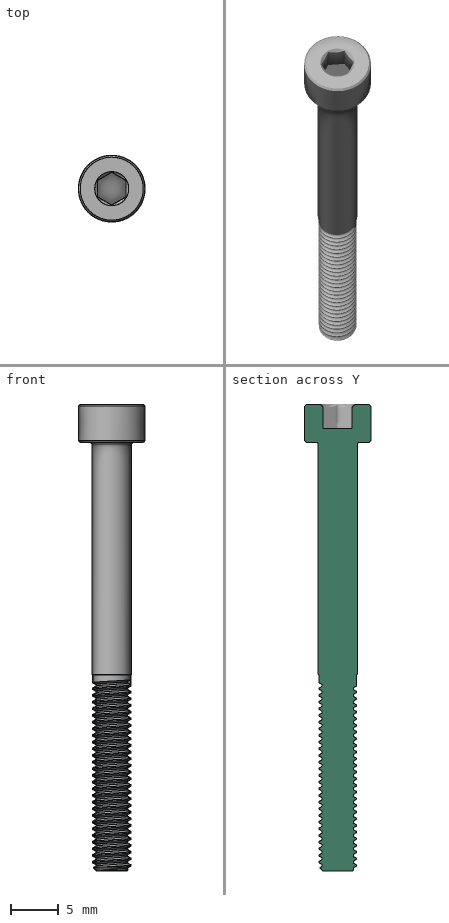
import cadquery as cq
import math

total_length = 49.0
head_diameter = 7.0
head_height = 4.0
head_chamfer = 0.2
underhead_fillet = 0.2
shank_diameter = 4.15
shank_end_z = 20.6

socket_across_flats = 3.0
socket_depth = 2.5
socket_mouth_diameter = 3.6

thread_length = 19.6
thread_turns = 28
thread_diameter = 4.0
root_diameter = 3.35
tip_diameter = 3.2
rod_run_out = 1.45
pitch = thread_length / thread_turns
flank_half_angle = math.radians(30)
root_flat = pitch / 4
crest_z_on_x_axis = 0.6
groove_overshoot = 0.05

head_radius = head_diameter / 2
shank_radius = shank_diameter / 2
thread_radius = thread_diameter / 2
root_radius = root_diameter / 2
head_base_z = total_length - head_height


def make_head_and_shank():
    """Turned head and plain shank, joined by a fillet; the shank end is chamfered to the thread."""
    shank_chamfer = shank_radius - thread_radius
    fillet_centre_r = shank_radius + underhead_fillet
    fillet_centre_z = head_base_z - underhead_fillet
    fillet_reach = underhead_fillet * math.sin(math.radians(45))
    return (
        cq.Workplane("XZ")
        .moveTo(0, shank_end_z)
        .lineTo(thread_radius, shank_end_z)
        .lineTo(shank_radius, shank_end_z + shank_chamfer)
        .lineTo(shank_radius, fillet_centre_z)
        .threePointArc(
            (fillet_centre_r - fillet_reach, fillet_centre_z + fillet_reach),
            (fillet_centre_r, head_base_z),
        )
        .lineTo(head_radius - head_chamfer, head_base_z)
        .lineTo(head_radius, head_base_z + head_chamfer)
        .lineTo(head_radius, total_length - head_chamfer)
        .lineTo(head_radius - head_chamfer, total_length)
        .lineTo(0, total_length)
        .close()
        .revolve(360, (0, 0, 0), (0, 1, 0))
    )


def make_socket():
    """Hexagon with corners on the Y axis, plus its conical lead-in."""
    hexagon = (
        cq.Workplane("XY", origin=(0, 0, total_length))
        .transformed(rotate=(0, 0, 90))
        .polygon(6, socket_across_flats / math.cos(math.radians(30)))
        .extrude(-socket_depth)
    )
    mouth_radius = socket_mouth_diameter / 2
    lead_in = cq.Workplane(cq.Solid.makeCone(
        mouth_radius, 0, mouth_radius, cq.Vector(0, 0, total_length), cq.Vector(0, 0, -1)
    ))
    return hexagon.union(lead_in)


def make_thread_groove():
    """Helical cutter with 60 degree flanks, running out below the tip."""
    start_z = crest_z_on_x_axis - 1.5 * pitch
    turns = thread_turns + 1
    outer_radius = thread_radius + groove_overshoot
    root_half = root_flat / 2
    outer_half = root_half + (outer_radius - root_radius) * math.tan(flank_half_angle)
    helix = cq.Wire.makeHelix(pitch, turns * pitch, root_radius).translate(cq.Vector(0, 0, start_z))
    return (
        cq.Workplane("XZ", origin=(0, 0, start_z))
        .moveTo(root_radius, -root_half)
        .lineTo(outer_radius, -outer_half)
        .lineTo(outer_radius, outer_half)
        .lineTo(root_radius, root_half)
        .close()
        .sweep(cq.Workplane(helix), isFrenet=True)
    )


def make_threaded_rod():
    """Threaded rod with its tip chamfered at 45 degrees."""
    rod = (
        cq.Workplane("XY", origin=(0, 0, -rod_run_out))
        .circle(thread_radius)
        .extrude(rod_run_out + shank_end_z)
    )
    tip_radius = tip_diameter / 2
    pointed_envelope = (
        cq.Workplane("XZ")
        .lineTo(tip_radius, 0)
        .lineTo(shank_radius, shank_radius - tip_radius)
        .lineTo(shank_radius, shank_end_z)
        .lineTo(0, shank_end_z)
        .close()
        .revolve(360, (0, 0, 0), (0, 1, 0))
    )
    return rod.cut(make_thread_groove()).intersect(pointed_envelope)


result = make_head_and_shank().cut(make_socket()).union(make_threaded_rod())